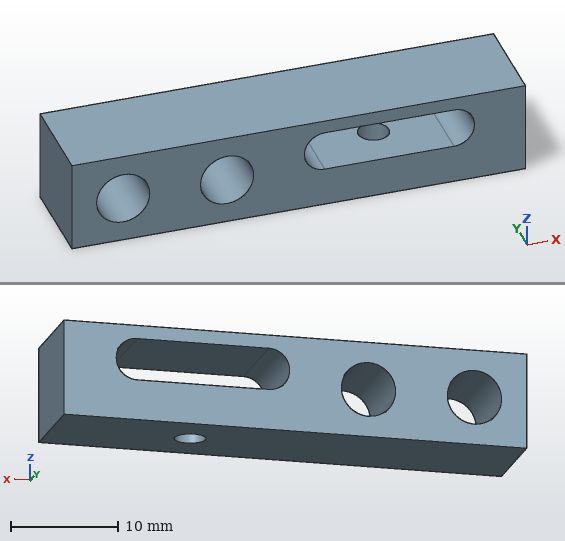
import cadquery as cq

length = 44.45
depth = 9.5
height = 9.15

hole_diameter = 5.2
first_hole_x = 5.02
hole_spacing = 10.2
hole_count = 2
hole_z = height / 2

slot_length = 16.65
slot_width = 4.0
slot_center_x = 31.1
slot_center_z = 5.85

bottom_hole_diameter = 3.0


def front_plane():
    """Sketch plane on the front face: local x is X, local y is Z."""
    return cq.Workplane("XZ")


def make_bar():
    return cq.Workplane("XY").box(length, depth, height, centered=False)


def make_round_holes():
    centers = [(first_hole_x + i * hole_spacing, hole_z) for i in range(hole_count)]
    return front_plane().pushPoints(centers).circle(hole_diameter / 2).extrude(-depth)


def make_slot():
    return (
        front_plane()
        .center(slot_center_x, slot_center_z)
        .slot2D(slot_length, slot_width)
        .extrude(-depth)
    )


def make_bottom_hole():
    return (
        cq.Workplane("XY")
        .center(slot_center_x, depth / 2)
        .circle(bottom_hole_diameter / 2)
        .extrude(slot_center_z)
    )


result = make_bar().cut(make_round_holes()).cut(make_slot()).cut(make_bottom_hole())